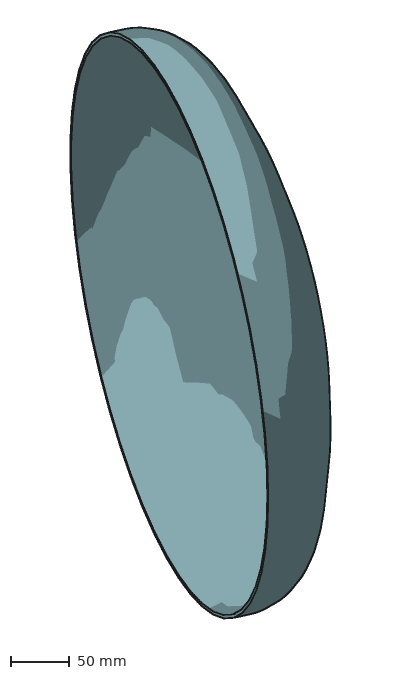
import cadquery as cq
import math

outer_diameter = 508.0
inner_diameter = 502.0
overall_height = 115.0
inner_crown_radius = outer_diameter
inner_knuckle_radius = 0.1 * outer_diameter

outer_radius = outer_diameter / 2
inner_radius = inner_diameter / 2
wall = outer_radius - inner_radius
outer_crown_radius = inner_crown_radius + wall
outer_knuckle_radius = inner_knuckle_radius + wall

knuckle_centre_x = inner_radius - inner_knuckle_radius
centre_distance = inner_crown_radius - inner_knuckle_radius
tangent_angle = math.asin(knuckle_centre_x / centre_distance)
crown_centre_y = overall_height - outer_crown_radius
flange_height = crown_centre_y + centre_distance * math.cos(tangent_angle)


def knuckle_point(radius, angle):
    """Point on a knuckle arc, with the angle measured from the head axis."""
    return (
        knuckle_centre_x + radius * math.sin(angle),
        flange_height + radius * math.cos(angle),
    )


def crown_point(radius, angle):
    """Point on a crown arc, with the angle measured from the head axis."""
    return (
        radius * math.sin(angle),
        crown_centre_y + radius * math.cos(angle),
    )


knuckle_mid_angle = (tangent_angle + math.pi / 2) / 2
crown_mid_angle = tangent_angle / 2

half_section = (
    cq.Workplane("XY")
    .moveTo(inner_radius, 0)
    .lineTo(outer_radius, 0)
    .lineTo(outer_radius, flange_height)
    .threePointArc(
        knuckle_point(outer_knuckle_radius, knuckle_mid_angle),
        knuckle_point(outer_knuckle_radius, tangent_angle),
    )
    .threePointArc(
        crown_point(outer_crown_radius, crown_mid_angle),
        crown_point(outer_crown_radius, 0),
    )
    .lineTo(*crown_point(inner_crown_radius, 0))
    .threePointArc(
        crown_point(inner_crown_radius, crown_mid_angle),
        knuckle_point(inner_knuckle_radius, tangent_angle),
    )
    .threePointArc(
        knuckle_point(inner_knuckle_radius, knuckle_mid_angle),
        (inner_radius, flange_height),
    )
    .close()
)

result = half_section.revolve(360, (0, 0, 0), (0, 1, 0))